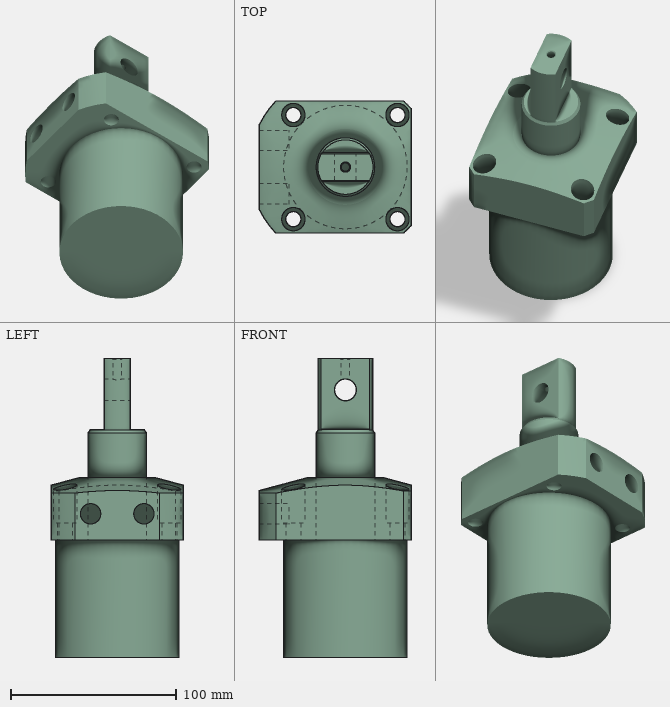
import cadquery as cq
import math

flange_bottom = 71.1
flange_top = 109.0
shoulder_top = 138.0
total_height = 181.0

barrel_diameter = 74.8
flange_left = -52.1
flange_right = 39.8
flange_half_width = 40.0
corner_arc_radius = 58.1
corner_chamfer = 4.7
crown_radius = 23.0
crown_angle = math.radians(15)

hole_offset = 31.5
bolt_radius = 4.5
counterbore_radius = 7.0
counterbore_floor = 81.5

port_radius = 6.2
port_offset = 16.1
port_height = 87.0
port_depth = 18.1

rod_radius = 17.7
rod_bottom = flange_bottom
shoulder_chamfer_height = 2.0
shoulder_chamfer_width = 1.3
tongue_radius = 16.7
tongue_thickness = 16.0
cross_hole_radius = 6.5
cross_hole_height = 162.0
oil_hole_radius = 2.5
oil_hole_chamfer = 0.5
flare_width = 0.7
flare_height = 0.4


def cylinder(radius, bottom, top, x=0, y=0):
    """Vertical cylinder between two heights."""
    return cq.Workplane("XY", origin=(x, y, bottom)).circle(radius).extrude(top - bottom)


def make_flange():
    """Plate with two rounded and two chamfered corners and a conical crown."""
    arc_end_x = -math.sqrt(corner_arc_radius**2 - flange_half_width**2)
    arc_end_y = math.sqrt(corner_arc_radius**2 - flange_left**2)
    mid_angle = (math.atan2(flange_half_width, arc_end_x) + math.atan2(arc_end_y, flange_left)) / 2
    arc_mid_x = corner_arc_radius * math.cos(mid_angle)
    arc_mid_y = corner_arc_radius * math.sin(mid_angle)
    chamfer_x = flange_right - corner_chamfer
    chamfer_y = flange_half_width - corner_chamfer
    plate = (
        cq.Workplane("XY", origin=(0, 0, flange_bottom))
        .moveTo(flange_left, -arc_end_y)
        .threePointArc((arc_mid_x, -arc_mid_y), (arc_end_x, -flange_half_width))
        .lineTo(chamfer_x, -flange_half_width)
        .lineTo(flange_right, -chamfer_y)
        .lineTo(flange_right, chamfer_y)
        .lineTo(chamfer_x, flange_half_width)
        .lineTo(arc_end_x, flange_half_width)
        .threePointArc((arc_mid_x, arc_mid_y), (flange_left, arc_end_y))
        .close()
        .extrude(flange_top - flange_bottom)
    )
    envelope_radius = math.hypot(flange_left, flange_half_width)
    crown_drop = (envelope_radius - crown_radius) * math.tan(crown_angle)
    crown = (
        cq.Workplane("XZ")
        .moveTo(0, flange_bottom)
        .lineTo(envelope_radius, flange_bottom)
        .lineTo(envelope_radius, flange_top - crown_drop)
        .lineTo(crown_radius, flange_top)
        .lineTo(0, flange_top)
        .close()
        .revolve(360, (0, 0, 0), (0, 1, 0))
    )
    return plate.intersect(crown)


def make_housing():
    """Barrel and flange with mounting holes, ports and the rod bore."""
    housing = make_flange().union(cylinder(barrel_diameter / 2, 0, flange_bottom))
    for x in (-hole_offset, hole_offset):
        for y in (-hole_offset, hole_offset):
            housing = housing.cut(cylinder(bolt_radius, flange_bottom, flange_top, x, y))
            housing = housing.cut(cylinder(counterbore_radius, counterbore_floor, flange_top, x, y))
    for y in (-port_offset, port_offset):
        port = cq.Workplane("YZ", origin=(flange_left, y, port_height)).circle(port_radius).extrude(port_depth)
        housing = housing.cut(port)
    return housing.cut(cylinder(rod_radius, rod_bottom, flange_top))


def make_tongue():
    """Round bar with two flats, flared by a low slope where they meet the shoulder."""
    half_thickness = tongue_thickness / 2
    tongue_bottom = shoulder_top - shoulder_chamfer_height
    flared_half = half_thickness + flare_width
    blade = (
        cq.Workplane("YZ")
        .moveTo(-half_thickness, tongue_bottom)
        .lineTo(-half_thickness, shoulder_top)
        .lineTo(-flared_half, shoulder_top)
        .lineTo(-half_thickness, shoulder_top + flare_height)
        .lineTo(-half_thickness, total_height)
        .lineTo(half_thickness, total_height)
        .lineTo(half_thickness, shoulder_top + flare_height)
        .lineTo(flared_half, shoulder_top)
        .lineTo(half_thickness, shoulder_top)
        .lineTo(half_thickness, tongue_bottom)
        .close()
        .extrude(tongue_radius, both=True)
    )
    return cylinder(tongue_radius, tongue_bottom, total_height).intersect(blade)


def make_rod():
    """Round rod with a chamfered shoulder and a drilled flat tongue."""
    shoulder = cylinder(rod_radius, rod_bottom, shoulder_top).faces(">Z").chamfer(
        shoulder_chamfer_height, shoulder_chamfer_width
    )
    cross_hole = (
        cq.Workplane("XZ", origin=(0, 0, cross_hole_height))
        .circle(cross_hole_radius)
        .extrude(tongue_thickness, both=True)
    )
    oil_hole = cylinder(oil_hole_radius, cross_hole_height, total_height)
    countersink = cq.Workplane(
        cq.Solid.makeCone(
            oil_hole_radius,
            oil_hole_radius + oil_hole_chamfer,
            oil_hole_chamfer,
            pnt=cq.Vector(0, 0, total_height - oil_hole_chamfer),
        )
    )
    return shoulder.union(make_tongue()).cut(cross_hole).cut(oil_hole).cut(countersink)


housing = make_housing()
rod = make_rod()
result = cq.Compound.makeCompound([housing.val(), rod.val()])